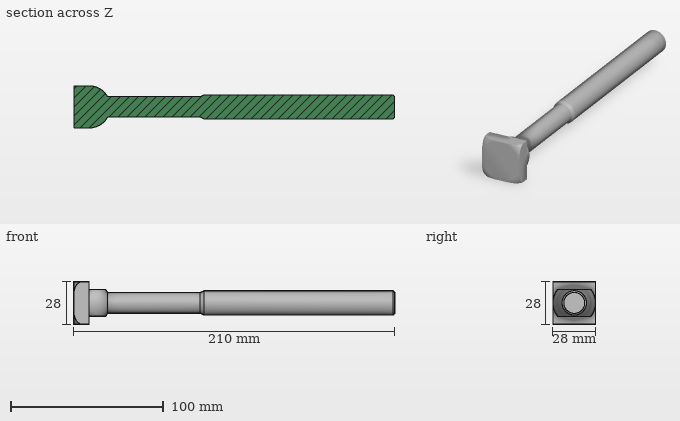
import cadquery as cq
import math

total_length = 210.0
head_width = 28.0
head_thickness = 10.0
neck_thickness = 17.6
shank_diameter = 13.6
thread_diameter = 16.0
thread_length = 124.7
runout_length = 2.5

half_width = head_width / 2
corner_radius = half_width * math.sqrt(2)
corner_rounding = corner_radius - half_width
shank_radius = shank_diameter / 2
thread_radius = thread_diameter / 2
thread_start = total_length - thread_length
end_chamfer = thread_radius - shank_radius


def make_head():
    """Square head whose outer corners are rounded off down to the inscribed circle."""
    block = cq.Workplane("YZ").rect(head_width, head_width).extrude(head_thickness)
    rounded_disc = (
        cq.Workplane("YZ")
        .circle(corner_radius)
        .extrude(head_thickness)
        .faces("<X")
        .edges()
        .fillet(corner_rounding)
    )
    return block.intersect(rounded_disc)


def make_neck():
    """Half ball on the underside of the head, cut flat above and below."""
    ball = cq.Workplane("XY").sphere(half_width)
    slab = cq.Workplane("XY").box(
        half_width, head_width, neck_thickness, centered=(False, True, True)
    )
    return ball.intersect(slab).translate((head_thickness, 0, 0))


def make_shank():
    """Plain shank, conical runout and thread-sized rod with a chamfered end."""
    return (
        cq.Workplane("XY")
        .moveTo(head_thickness, 0)
        .lineTo(head_thickness, shank_radius)
        .lineTo(thread_start - runout_length, shank_radius)
        .lineTo(thread_start, thread_radius)
        .lineTo(total_length - end_chamfer, thread_radius)
        .lineTo(total_length, thread_radius - end_chamfer)
        .lineTo(total_length, 0)
        .close()
        .revolve(360, (0, 0, 0), (1, 0, 0))
    )


result = make_head().union(make_neck()).union(make_shank())